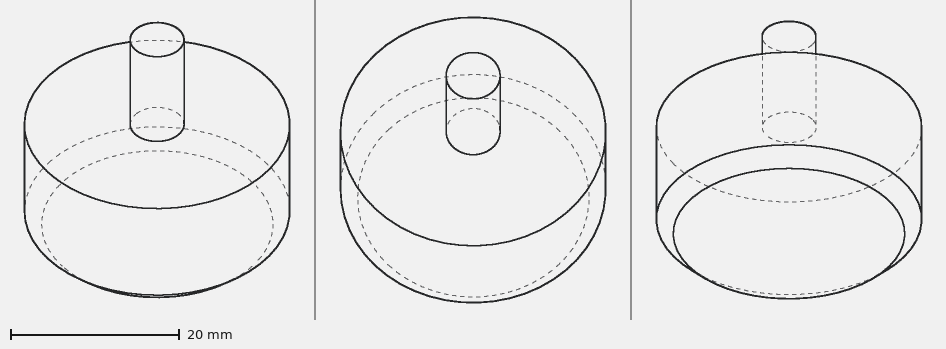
import cadquery as cq

total_height = 32.5
body_diameter = 31.5
stem_diameter = 6.4
stem_length = 13.0
chamfer_size = 2.0
tip_height = 4.2

body_radius = body_diameter / 2
stem_radius = stem_diameter / 2
tip_radius = body_radius - chamfer_size
body_bottom = tip_height + chamfer_size
body_top = total_height - stem_length

half_section = (
    cq.Workplane("XZ")
    .moveTo(0, 0)
    .lineTo(tip_radius, tip_height)
    .lineTo(body_radius, body_bottom)
    .lineTo(body_radius, body_top)
    .lineTo(stem_radius, body_top)
    .lineTo(stem_radius, total_height)
    .lineTo(0, total_height)
    .close()
)

result = half_section.revolve(360, (0, 0, 0), (0, 1, 0))